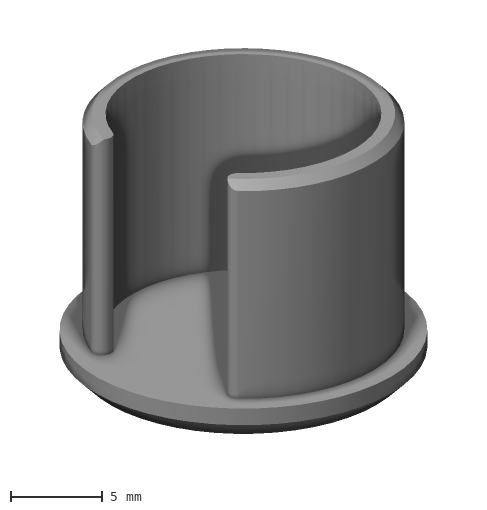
import cadquery as cq
import math

flange_diameter = 20.0
flange_thickness = 2.0
flange_chamfer = 1.0
total_height = 15.0
wall_outer_diameter = 17.5
wall_inner_diameter = 15.0
rim_chamfer = 0.5
gap_width = 8.0

wall_height = total_height - flange_thickness
outer_radius = wall_outer_diameter / 2
inner_radius = wall_inner_diameter / 2
end_radius = (outer_radius - inner_radius) / 2
middle_radius = (outer_radius + inner_radius) / 2

end_angle = math.asin((gap_width / 2 + end_radius) / middle_radius)


def point_from_gap(radius, angle):
    """Point at a radius and an angle measured from the -Y axis towards +X."""
    return (radius * math.sin(angle), -radius * math.cos(angle))


def wall_end_tip(side):
    """Tip of the rounded wall end on the +X (side = 1) or -X (side = -1) half."""
    center_x, center_y = point_from_gap(middle_radius, side * end_angle)
    return (
        center_x - side * end_radius * math.cos(end_angle),
        center_y - end_radius * math.sin(end_angle),
    )


def make_flange():
    """Round base disc, chamfered around its bottom edge."""
    disc = cq.Workplane("XY").circle(flange_diameter / 2).extrude(flange_thickness)
    return disc.faces("<Z").chamfer(flange_chamfer)


def make_wall():
    """C-shaped wall with fully rounded ends, open towards -Y."""
    return (
        cq.Workplane("XY")
        .workplane(offset=flange_thickness)
        .moveTo(*point_from_gap(outer_radius, end_angle))
        .threePointArc((0, outer_radius), point_from_gap(outer_radius, -end_angle))
        .threePointArc(wall_end_tip(-1), point_from_gap(inner_radius, -end_angle))
        .threePointArc((0, inner_radius), point_from_gap(inner_radius, end_angle))
        .threePointArc(wall_end_tip(1), point_from_gap(outer_radius, end_angle))
        .close()
        .extrude(wall_height)
    )


def make_rim_envelope():
    """Solid cylinder whose chamfered top bevels only the outer rim of the wall."""
    return (
        cq.Workplane("XY")
        .workplane(offset=flange_thickness)
        .circle(outer_radius)
        .extrude(wall_height)
        .faces(">Z")
        .chamfer(rim_chamfer)
    )


wall = make_wall().intersect(make_rim_envelope())
result = make_flange().union(wall)